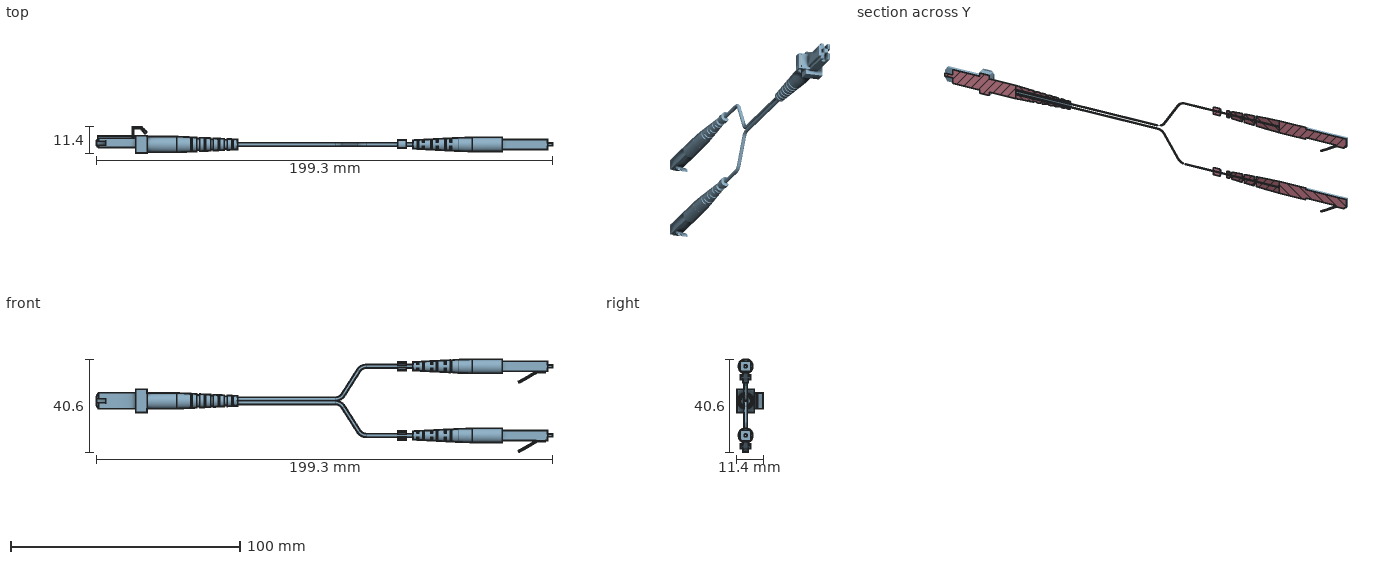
import cadquery as cq
import math


cable_radius = 0.8
branch_offset = 15.1
bend_radius = 4.0
fork_angle = math.radians(57.5)
fork_corner_x = 106.6

nose_length = 1.0
plug_end_x = 17.2
plug_height = 7.1
plug_depth = 4.0
plug_center_y = 0.6
nose_tip_height = 3.8
nose_tip_depth = 2.0
cross_slot_width = 1.75
cross_slot_end_x = 4.1
flange_thickness = 5.0
flange_height = 10.3
flange_depth = 7.6
barrel_radius = 3.5
barrel_end_x = 35.1

spring_start_x = 0.6
spring_thickness = 1.1
spring_height = 4.8
overall_depth = 11.44
lever_thickness = 0.8
lever_width = 6.9
lever_window_width = 5.8
lever_window_depth = 0.5
lever_front_x = 15.6
lever_bend_x = 19.8
lever_end_x = 22.1
lever_end_y = 4.6

boot_end_x = 61.7
boot_large_radius = 3.5
boot_small_radius = 2.25
boot_groove_pitch = 3.0
boot_first_groove_x = 41.5
boot_groove_count = 7
boot_groove_depth = 0.42
boot_groove_widths = (0.7, 1.2)

overall_length = 199.26
simplex_boot_start_x = 138.2
simplex_collar_start_x = 158.1
simplex_barrel_start_x = 164.1
simplex_barrel_end_x = 177.3
simplex_plug_end_x = 197.0
simplex_barrel_radius = 3.15
simplex_plug_side = 4.5
ferrule_radius = 0.65

arm_root_x = 196.1
arm_bend_x = 192.3
arm_knee_x = 187.8
arm_tip_x = 184.6
arm_thickness = 0.6
arm_knee_drop = 5.5
arm_tip_drop = 7.25
arm_width = 2.5
wing_width = 4.5
wing_start_x = 187.2
wing_end_x = 189.6

simplex_boot_small_radius = 1.9
simplex_collar_small_radius = 2.95
simplex_collar_large_radius = 3.13
slot_pair_first_x = 140.4
slot_pair_pitch = 6.0
slot_pair_gap = 2.4
slot_pair_count = 3
slot_width = 0.7
slot_bridge = 2.0

marker_start_x = 131.6
marker_length = 3.8
marker_radius = 2.05
marker_mouth_half_angle = math.radians(40)


def span_box(x, y, z):
    """Box between the (low, high) limits given for each axis."""
    size = [high - low for low, high in (x, y, z)]
    corner = (x[0], y[0], z[0])
    return cq.Workplane("XY").box(*size, centered=False).translate(corner)


def centered_box(x_start, x_end, depth, height, center_y=0.0):
    y = (center_y - depth / 2, center_y + depth / 2)
    return span_box((x_start, x_end), y, (-height / 2, height / 2))


def rod(x_start, x_end, radius):
    return cq.Workplane("YZ", origin=(x_start, 0, 0)).circle(radius).extrude(x_end - x_start)


def turned(profile):
    """Solid of revolution about X; profile lists (x, radius) points from one end to the other."""
    outline = [(profile[0][0], 0), *profile, (profile[-1][0], 0)]
    return cq.Workplane("XY").polyline(outline).close().revolve(360, (0, 0, 0), (1, 0, 0))


def make_duplex_plug():
    nose = (
        cq.Workplane("YZ")
        .center(plug_center_y, 0)
        .rect(nose_tip_depth, nose_tip_height)
        .workplane(offset=nose_length)
        .rect(plug_depth, plug_height)
        .loft(ruled=True)
    )
    plug = nose.union(centered_box(nose_length, plug_end_x, plug_depth, plug_height, plug_center_y))
    slot_along_y = centered_box(0, cross_slot_end_x, plug_depth, cross_slot_width, plug_center_y)
    slot_along_z = centered_box(0, cross_slot_end_x, cross_slot_width, plug_height, plug_center_y)
    post = centered_box(0, cross_slot_end_x, cross_slot_width, cross_slot_width, plug_center_y)
    return plug.cut(slot_along_y.union(slot_along_z).cut(post))


def make_duplex_latch():
    plug_back_y = plug_center_y + plug_depth / 2
    spring = span_box(
        (spring_start_x, plug_end_x),
        (plug_back_y, plug_back_y + spring_thickness),
        (-spring_height / 2, spring_height / 2),
    )
    lever_top_y = overall_depth - flange_depth / 2
    lever_inner_y = lever_top_y - lever_thickness
    lever = (
        cq.Workplane("XY", origin=(0, 0, -lever_width / 2))
        .moveTo(lever_front_x, plug_back_y)
        .lineTo(lever_front_x, lever_top_y)
        .lineTo(lever_bend_x, lever_top_y)
        .lineTo(lever_end_x, lever_end_y + lever_thickness)
        .lineTo(lever_end_x - lever_thickness, lever_end_y)
        .lineTo(lever_bend_x - lever_thickness / 2, lever_inner_y)
        .lineTo(lever_front_x + lever_thickness, lever_inner_y)
        .lineTo(lever_front_x + lever_thickness, plug_back_y)
        .close()
        .extrude(lever_width)
    )
    window = span_box(
        (lever_front_x, lever_front_x + lever_thickness),
        (lever_inner_y - lever_window_depth, lever_inner_y),
        (-lever_window_width / 2, lever_window_width / 2),
    )
    return spring.union(lever.cut(window))


def make_duplex_housing():
    flange_end_x = plug_end_x + flange_thickness
    flange = centered_box(plug_end_x, flange_end_x, flange_depth, flange_height)
    barrel = rod(flange_end_x, barrel_end_x, barrel_radius)
    return make_duplex_plug().union(make_duplex_latch()).union(flange).union(barrel)


def boot_radius_at(x):
    share = (x - barrel_end_x) / (boot_end_x - barrel_end_x)
    return boot_large_radius + share * (boot_small_radius - boot_large_radius)


def make_duplex_boot():
    profile = [(barrel_end_x, boot_large_radius)]
    for i in range(boot_groove_count):
        center_x = boot_first_groove_x + i * boot_groove_pitch
        half_width = boot_groove_widths[i % 2] / 2
        start_x = center_x - half_width
        end_x = center_x + half_width
        floor_radius = boot_radius_at(center_x) - boot_groove_depth
        profile += [
            (start_x, boot_radius_at(start_x)),
            (start_x, floor_radius),
            (end_x, floor_radius),
            (end_x, boot_radius_at(end_x)),
        ]
    profile.append((boot_end_x, boot_small_radius))
    bore = (
        cq.Workplane("YZ", origin=(barrel_end_x, 0, 0))
        .slot2D(4 * cable_radius, 2 * cable_radius, 90)
        .extrude(boot_end_x - barrel_end_x)
    )
    return turned(profile).cut(bore)


def make_cable():
    """Upper cable, from the duplex barrel through the fork to the simplex barrel."""
    rise = branch_offset - cable_radius
    run = rise / math.tan(fork_angle)
    tangent = bend_radius * math.tan(fork_angle / 2)
    step_x = tangent * math.cos(fork_angle)
    step_z = tangent * math.sin(fork_angle)
    second_corner_x = fork_corner_x + run
    path = (
        cq.Workplane("XZ")
        .moveTo(barrel_end_x, cable_radius)
        .lineTo(fork_corner_x - tangent, cable_radius)
        .tangentArcPoint((fork_corner_x + step_x, cable_radius + step_z), relative=False)
        .lineTo(second_corner_x - step_x, branch_offset - step_z)
        .tangentArcPoint((second_corner_x + tangent, branch_offset), relative=False)
        .lineTo(simplex_barrel_start_x, branch_offset)
    )
    section = cq.Workplane("YZ", origin=(barrel_end_x, 0, cable_radius)).circle(cable_radius)
    return section.sweep(path)


def make_latch_arm():
    """Cantilever arm hinged near the plug tip, sloping down and back, with a winged catch."""
    plug_bottom = -simplex_plug_side / 2
    lower_face_z = plug_bottom - arm_thickness

    def arm_profile(width):
        return (
            cq.Workplane("XZ", origin=(0, width / 2, 0))
            .moveTo(arm_root_x, plug_bottom)
            .lineTo(arm_root_x, lower_face_z)
            .lineTo(arm_bend_x, lower_face_z)
            .lineTo(arm_knee_x, -arm_knee_drop)
            .lineTo(arm_tip_x, -arm_tip_drop)
            .lineTo(arm_tip_x - arm_thickness / 2, -arm_tip_drop + arm_thickness)
            .lineTo(arm_knee_x - arm_thickness / 2, -arm_knee_drop + arm_thickness)
            .lineTo(arm_bend_x - arm_thickness / 2, plug_bottom)
            .close()
            .extrude(width)
        )

    wing_zone = centered_box(wing_start_x, wing_end_x, wing_width, 2 * arm_tip_drop)
    return arm_profile(arm_width).union(arm_profile(wing_width).intersect(wing_zone))


def make_simplex_connector():
    barrel = rod(simplex_barrel_start_x, simplex_barrel_end_x, simplex_barrel_radius)
    plug = centered_box(simplex_barrel_end_x, simplex_plug_end_x, simplex_plug_side, simplex_plug_side)
    ferrule = rod(simplex_plug_end_x, overall_length, ferrule_radius)
    return barrel.union(plug).union(ferrule).union(make_latch_arm())


def make_simplex_boot():
    boot = turned([
        (simplex_boot_start_x, simplex_boot_small_radius),
        (simplex_collar_start_x, simplex_collar_small_radius),
        (simplex_barrel_start_x, simplex_collar_large_radius),
    ])
    full = 2 * simplex_collar_large_radius
    for i in range(slot_pair_count):
        start_x = slot_pair_first_x + i * slot_pair_pitch - slot_width / 2
        end_x = start_x + slot_width
        level_web = centered_box(start_x, end_x, full, slot_bridge)
        boot = boot.cut(centered_box(start_x, end_x, full, full).cut(level_web))
        start_x += slot_pair_gap
        end_x += slot_pair_gap
        upright_web = centered_box(start_x, end_x, slot_bridge, full)
        boot = boot.cut(centered_box(start_x, end_x, full, full).cut(upright_web))
    return boot.cut(rod(simplex_boot_start_x, simplex_barrel_start_x, cable_radius))


def make_marker_clip():
    """Ring clipped round the cable, with a V-shaped mouth toward -Y."""
    marker_end_x = marker_start_x + marker_length
    ring = rod(marker_start_x, marker_end_x, marker_radius)
    bore = rod(marker_start_x, marker_end_x, cable_radius)
    mouth_half_height = marker_radius * math.tan(marker_mouth_half_angle)
    mouth = (
        cq.Workplane("YZ", origin=(marker_start_x, 0, 0))
        .polyline([(0, 0), (-marker_radius, mouth_half_height), (-marker_radius, -mouth_half_height)])
        .close()
        .extrude(marker_length)
    )
    return ring.cut(bore).cut(mouth)


duplex_housing = make_duplex_housing()
duplex_boot = make_duplex_boot()
upper_cable = make_cable()
lower_cable = upper_cable.mirror("XY")
bodies = [duplex_housing.val(), duplex_boot.val(), upper_cable.val(), lower_cable.val()]

for axis_z in (branch_offset, -branch_offset):
    for make_body in (make_simplex_connector, make_simplex_boot, make_marker_clip):
        bodies.append(make_body().translate((0, 0, axis_z)).val())

result = cq.Compound.makeCompound(bodies)